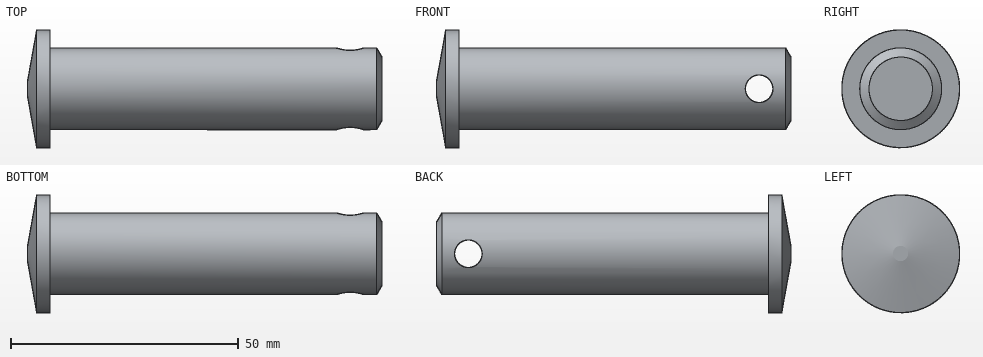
import cadquery as cq

total_length = 78.0
head_diameter = 26.0
head_tip_diameter = 3.35
head_cone_height = 2.0
head_rim_thickness = 3.0
shank_diameter = 18.0
end_chamfer_length = 1.2
end_chamfer_depth = 2.0
cross_hole_diameter = 6.0
cross_hole_to_end = 7.0

head_radius = head_diameter / 2
shank_radius = shank_diameter / 2
head_underside = head_cone_height + head_rim_thickness


def pin_body():
    """Revolve the half profile of head and shank about the X axis."""
    return (
        cq.Workplane("XY")
        .moveTo(0, 0)
        .lineTo(0, head_tip_diameter / 2)
        .lineTo(head_cone_height, head_radius)
        .lineTo(head_underside, head_radius)
        .lineTo(head_underside, shank_radius)
        .lineTo(total_length - end_chamfer_length, shank_radius)
        .lineTo(total_length, shank_radius - end_chamfer_depth)
        .lineTo(total_length, 0)
        .close()
        .revolve(360, (0, 0, 0), (1, 0, 0))
    )


def cross_hole():
    """Cylinder along Y that pierces the whole shank near its free end."""
    return (
        cq.Workplane("XZ")
        .center(total_length - cross_hole_to_end, 0)
        .circle(cross_hole_diameter / 2)
        .extrude(shank_radius, both=True)
    )


result = pin_body().cut(cross_hole())